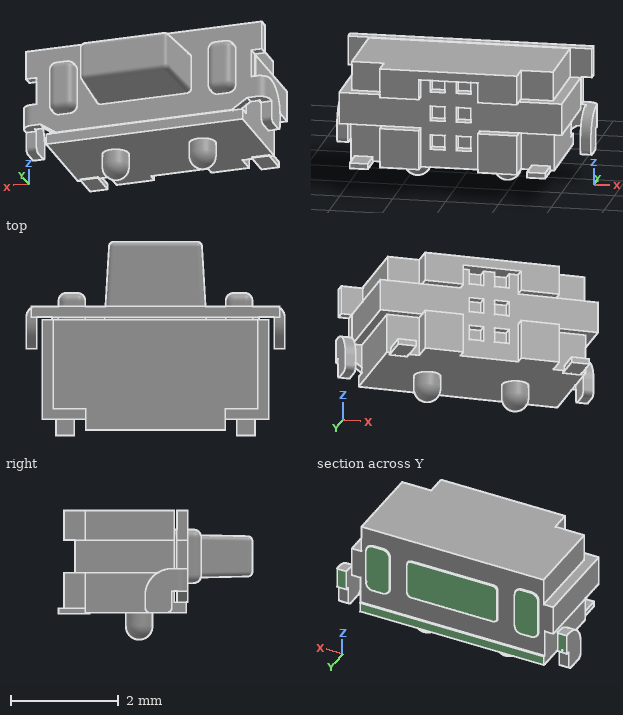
import cadquery as cq


overall_width = 4.8
sheet = 0.2

housing_height = 1.9
lower_tier_top = 0.75
middle_tier_top = 1.35
upper_width = 3.8
middle_width = 4.205
lower_width = 3.84
shoulder_front = -1.65
middle_front = -1.85
tab_front = -2.05
tab_width = 2.59
lip_rear = 0.22

channel_width = 1.115
channel_top = 1.73
window_size = 0.28
window_depth = 0.2
window_pitch_x = 0.49
window_pitch_z = 0.55
window_columns = 2
window_rows = 3

plate_gap = 0.05
plate_rear = plate_gap + sheet
plate_bottom = 0.2
head_width = 4.61
waist_width = middle_width

arm_top = 0.82
arm_bottom = 0.405
leg_rear = -0.05
leg_width = 0.495
foot_radius = 0.1
arm_slope_run = 0.3
arm_slope_outer = 2.02

mechanism_z = (lower_tier_top + middle_tier_top) / 2
button_tip_y = 1.45
button_base = (1.89, 0.81)
button_tip = (1.72, 0.75)
button_radius = 0.095
boss_width = 0.5
boss_height = 1.0
boss_rear = 0.5
boss_spacing = 3.1
boss_radius = 0.15

peg_radius = 0.25
peg_length = 0.5
peg_spacing = 1.7
peg_y = -0.655
pad_width = 0.345
pad_spacing = 3.35
pad_rear = -1.57
pad_front = -2.15
pad_bottom = -0.02
pad_top = 0.085


def block(width, front, rear, bottom, top, center_x=0.0):
    """Box of the given width about center_x, between the given Y and Z limits."""
    return (
        cq.Workplane("XY")
        .box(width, rear - front, top - bottom, centered=(True, False, False))
        .translate((center_x, front, bottom))
    )


def make_housing():
    """Three stacked tiers with front tabs, a rear lip and the windowed channel."""
    body = block(upper_width, shoulder_front, 0, middle_tier_top, housing_height)
    body = body.union(block(middle_width, middle_front, 0, lower_tier_top, middle_tier_top))
    body = body.union(block(lower_width, shoulder_front, 0, 0, lower_tier_top))
    body = body.union(block(lower_width, shoulder_front, lip_rear, 0, plate_bottom))
    for bottom, top in ((0, lower_tier_top), (middle_tier_top, housing_height)):
        body = body.union(block(tab_width, tab_front, shoulder_front, bottom, top))
    body = body.cut(block(channel_width, tab_front, middle_front, 0, channel_top))

    for column in range(window_columns):
        x = (column - (window_columns - 1) / 2) * window_pitch_x
        for row in range(window_rows):
            top = channel_top - row * window_pitch_z
            window = block(
                window_size, middle_front, middle_front + window_depth, top - window_size, top, x
            )
            body = body.cut(window)
    return body


def make_plate():
    """Flat cover: wide head, narrower waist, and a foot with sloped sides."""
    half_head = head_width / 2
    half_waist = waist_width / 2
    half_foot = arm_slope_outer - arm_slope_run
    right_side = [
        (half_foot, plate_bottom),
        (arm_slope_outer, arm_bottom),
        (half_waist, arm_bottom),
        (half_waist, middle_tier_top),
        (half_head, middle_tier_top),
        (half_head, housing_height),
    ]
    left_side = [(-x, z) for x, z in reversed(right_side)]
    return (
        cq.Workplane("XZ", origin=(0, plate_gap, 0))
        .polyline(right_side + left_side)
        .close()
        .extrude(-sheet)
    )


def make_right_arm():
    """Strip leaving the waist of the plate, bent forward into a rounded leg along the side."""
    half_waist = waist_width / 2
    outer_x = overall_width / 2
    inner_x = outer_x - sheet
    leg_front = leg_rear - leg_width

    bend = (
        cq.Workplane("XY", origin=(0, 0, arm_bottom))
        .moveTo(half_waist, plate_gap)
        .lineTo(half_waist, plate_rear)
        .lineTo(inner_x, plate_rear)
        .radiusArc((outer_x, plate_gap), sheet)
        .lineTo(outer_x, leg_rear)
        .lineTo(inner_x, leg_rear)
        .lineTo(inner_x, plate_gap)
        .close()
        .extrude(arm_top - arm_bottom)
    )
    leg = (
        cq.Workplane("YZ", origin=(inner_x, 0, 0))
        .moveTo(leg_rear, 0)
        .lineTo(leg_rear, arm_top)
        .radiusArc((leg_front, arm_top - leg_width), -leg_width)
        .lineTo(leg_front, 0)
        .close()
        .extrude(sheet)
        .edges("|X and <Z")
        .fillet(foot_radius)
    )
    return bend.union(leg)


def make_button():
    """Tapered push button with rounded long edges and tip."""
    return (
        cq.Workplane("XZ", origin=(0, 0, mechanism_z))
        .rect(*button_base)
        .workplane(offset=-button_tip_y)
        .rect(*button_tip)
        .loft()
        .faces("not <Y")
        .edges("not <Y")
        .fillet(button_radius)
    )


def make_boss(x):
    """Rounded boss passing from the housing through the plate."""
    half_height = boss_height / 2
    return (
        block(boss_width, 0, boss_rear, mechanism_z - half_height, mechanism_z + half_height, x)
        .edges("|Y or >Y")
        .fillet(boss_radius)
    )


def make_peg(x):
    """Locating peg with a hemispherical end."""
    shank_length = peg_length - peg_radius
    shank = cq.Workplane("XY", origin=(x, peg_y, 0)).circle(peg_radius).extrude(-shank_length)
    ball = cq.Workplane("XY", origin=(x, peg_y, -shank_length)).sphere(peg_radius)
    return shank.union(ball)


result = make_housing().union(make_plate()).union(make_button())

right_arm = make_right_arm()
result = result.union(right_arm).union(right_arm.mirror("YZ"))

for side in (-1, 1):
    result = result.union(make_boss(side * boss_spacing / 2))
    result = result.union(make_peg(side * peg_spacing / 2))
    pad_x = side * pad_spacing / 2
    result = result.union(block(pad_width, pad_front, pad_rear, pad_bottom, pad_top, pad_x))